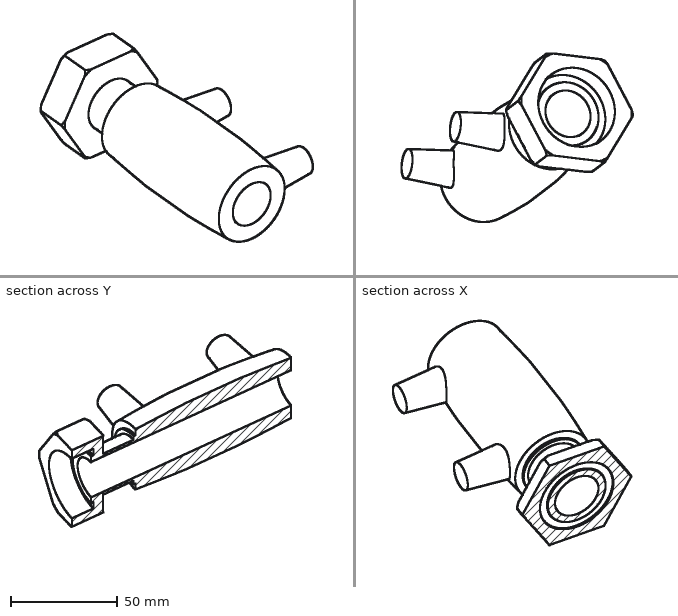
import cadquery as cq
import math

length = 124.0
bore_diameter = 23.0

nut_width = 18.0
nut_across_flats = 50.6
nut_across_corners = nut_across_flats / math.cos(math.radians(30))
nut_chamfer_radial = 1.2
nut_chamfer_axial = 1.2
nut_bore_diameter = 38.9
nut_bore_depth = 12.2

seat_diameter = 31.1
seat_height = 1.2

neck_diameter = 27.3
collar_diameter = 32.0
collar_start = 34.8
body_start = 36.0

body_diameter = 44.0
body_end_diameter = 39.9
body_third = (length - body_start) / 3
end_bulge = 0.19

pin_tip_y = 41.9
pin_tip_diameter = 14.1
pin_root_y = 12.4
pin_taper = 0.16
pin_root_diameter = pin_tip_diameter + pin_taper * (pin_tip_y - pin_root_y)
first_pin_x = 49.2
pin_spacing = 61.6


def cylinder(diameter, start, end):
    """Solid cylinder along X from start to end."""
    return cq.Workplane("YZ", origin=(start, 0, 0)).circle(diameter / 2).extrude(end - start)


def make_nut():
    """Hexagon with corners on the Y axis and conically chamfered corners."""
    hexagon = cq.Workplane("YZ").polygon(6, nut_across_corners).extrude(nut_width)
    corner_radius = nut_across_corners / 2
    face_radius = corner_radius - nut_chamfer_radial
    chamfer_envelope = (
        cq.Workplane("XY")
        .moveTo(0, 0)
        .lineTo(0, face_radius)
        .lineTo(nut_chamfer_axial, corner_radius)
        .lineTo(nut_width - nut_chamfer_axial, corner_radius)
        .lineTo(nut_width, face_radius)
        .lineTo(nut_width, 0)
        .close()
        .revolve(360, (0, 0, 0), (1, 0, 0))
    )
    nut = hexagon.intersect(chamfer_envelope)
    return nut.cut(cylinder(nut_bore_diameter, 0, nut_bore_depth))


def make_body():
    """Barrel turned around X."""
    end_radius = body_end_diameter / 2
    radius = body_diameter / 2
    arc_radius = (end_radius + radius) / 2 + end_bulge
    return (
        cq.Workplane("XY")
        .moveTo(body_start, 0)
        .lineTo(body_start, end_radius)
        .threePointArc((body_start + body_third / 2, arc_radius), (body_start + body_third, radius))
        .lineTo(length - body_third, radius)
        .threePointArc((length - body_third / 2, arc_radius), (length, end_radius))
        .lineTo(length, 0)
        .close()
        .revolve(360, (0, 0, 0), (1, 0, 0))
    )


def make_pin(x):
    """Round pin narrowing from inside the body to its flat tip."""
    pin = cq.Solid.makeCone(
        pin_root_diameter / 2,
        pin_tip_diameter / 2,
        pin_tip_y - pin_root_y,
        pnt=cq.Vector(x, pin_root_y, 0),
        dir=cq.Vector(0, 1, 0),
    )
    return cq.Workplane(obj=pin)


result = make_nut().union(make_body())
result = result.union(cylinder(seat_diameter, nut_bore_depth - seat_height, nut_width))
result = result.union(cylinder(neck_diameter, nut_width, collar_start))
result = result.union(cylinder(collar_diameter, collar_start, body_start))
for pin_index in range(2):
    result = result.union(make_pin(first_pin_x + pin_index * pin_spacing))
result = result.cut(cylinder(bore_diameter, 0, length))